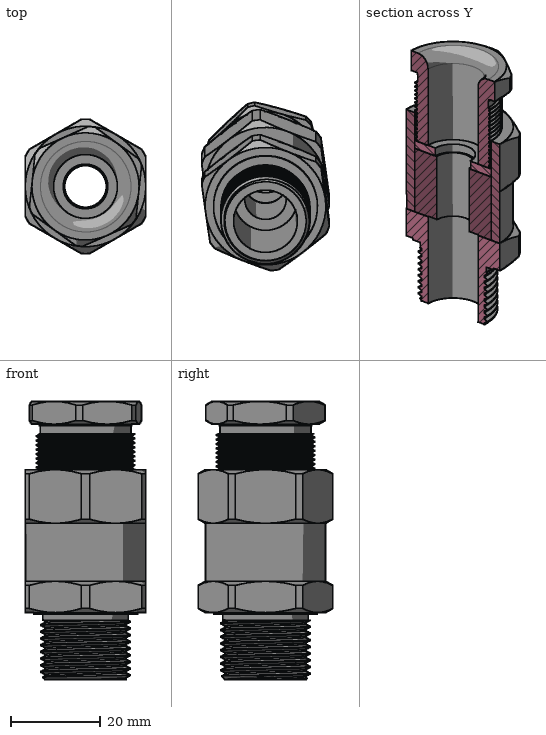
import cadquery as cq
import math


height = 62.3
entry_length = 22.0
entry_hex_height = 7.0
sleeve_length = 13.0
body_hex_height = 12.0
nut_hex_height = 5.1
sleeve_base = entry_length
body_hex_base = sleeve_base + sleeve_length
body_top = body_hex_base + body_hex_height
entry_hex_base = entry_length - entry_hex_height
nut_hex_base = height - nut_hex_height

body_flats = 27.0
nut_flats = 24.0
corner_ratio = 30.17 / 27.0
hex_chamfer_angle = 30.0
nut_turn = -6.0

entry_thread_radius = 10.0
entry_thread_pitch = 1.5
entry_thread_top = 13.3
entry_thread_crest_height = 0.2
entry_tip_chamfer = 0.9
entry_neck_radius = 9.6
entry_collar_radius = 11.65
entry_collar_height = 0.4

nut_thread_radius = 11.0
nut_thread_pitch = 1.0
nut_thread_top = 55.1
nut_thread_crest_height = 0.5
nut_neck_radius = 10.2
nut_collar_radius = 10.35
nut_collar_height = 0.4

thread_depth_ratio = 0.613
crest_flat_ratio = 1 / 8
root_flat_ratio = 1 / 4
thread_overshoot_ratio = 0.1

nut_bore_radius = 7.15
flare_radius = 3.0
nut_bottom = 40.0
washer_thickness = 2.0
washer_bore_radius = 5.0
seal_bore_radius = 4.65
seal_top = nut_bottom - washer_thickness
entry_bore_radius = nut_bore_radius
chamber_radius = nut_thread_radius


def cylinder(radius, bottom, top):
    return cq.Workplane("XY").workplane(offset=bottom).circle(radius).extrude(top - bottom)


def hexagon(flats, bottom, top):
    """Hexagonal prism with flats facing X, turned round at the corners and chamfered at both ends."""
    face_radius = flats / 2
    corner_radius = face_radius * corner_ratio
    chamfer = (corner_radius - face_radius) * math.tan(math.radians(hex_chamfer_angle))
    prism = (
        cq.Workplane("XY")
        .workplane(offset=bottom)
        .polygon(6, flats, circumscribed=True)
        .extrude(top - bottom)
    )
    turned = (
        cq.Workplane("XZ")
        .moveTo(0, bottom)
        .lineTo(face_radius, bottom)
        .lineTo(corner_radius, bottom + chamfer)
        .lineTo(corner_radius, top - chamfer)
        .lineTo(face_radius, top)
        .lineTo(0, top)
        .close()
        .revolve(360, (0, 0, 0), (0, 1, 0))
    )
    return prism.intersect(turned)


def thread(crest_radius, pitch, bottom, top, crest_height, tip_chamfer=0.0):
    """Rod with a right-hand thread, made longer than needed and then trimmed to bottom and top."""
    root = crest_radius - thread_depth_ratio * pitch
    overshoot = thread_overshoot_ratio * pitch
    mouth_radius = crest_radius + overshoot
    half_root = root_flat_ratio * pitch / 2
    half_crest_gap = (1 - crest_flat_ratio) * pitch / 2
    flank_slope = (half_crest_gap - half_root) / (crest_radius - root)
    half_mouth = half_crest_gap + flank_slope * overshoot

    start = (math.floor(bottom / pitch) - 1) * pitch + crest_height
    turns = math.ceil((top - start) / pitch) + 1
    helix_length = turns * pitch
    helix = cq.Wire.makeHelix(pitch, helix_length, root).translate(cq.Vector(0, 0, start))
    groove = (
        cq.Workplane("XZ")
        .moveTo(root, start - half_root)
        .lineTo(mouth_radius, start - half_mouth)
        .lineTo(mouth_radius, start + half_mouth)
        .lineTo(root, start + half_root)
        .close()
        .sweep(cq.Workplane(obj=helix), isFrenet=True)
    )
    blank = cylinder(crest_radius, start - pitch, start + helix_length + pitch)
    rod = blank.cut(groove)

    trim = cylinder(mouth_radius, bottom, top)
    if tip_chamfer > 0:
        trim = trim.faces("<Z").chamfer(tip_chamfer + overshoot)
    return rod.intersect(trim)


def make_entry():
    threaded_end = thread(
        entry_thread_radius,
        entry_thread_pitch,
        0,
        entry_thread_top,
        entry_thread_crest_height,
        entry_tip_chamfer,
    )
    collar_base = entry_hex_base - entry_collar_height
    return (
        hexagon(body_flats, entry_hex_base, entry_length)
        .union(cylinder(entry_collar_radius, collar_base, entry_hex_base))
        .union(cylinder(entry_neck_radius, entry_thread_top, collar_base))
        .union(threaded_end)
        .cut(cylinder(entry_bore_radius, 0, entry_length))
    )


def make_body():
    return (
        cylinder(body_flats / 2, sleeve_base, body_hex_base)
        .union(hexagon(body_flats, body_hex_base, body_top))
        .cut(cylinder(chamber_radius, sleeve_base, body_top))
    )


def make_ring(bore_radius, bottom, top):
    """Flat ring that fills the chamber between its bore and the chamber's wall."""
    return cylinder(chamber_radius, bottom, top).cut(cylinder(bore_radius, bottom, top))


def make_nut():
    collar_base = nut_hex_base - nut_collar_height
    threaded_shank = thread(
        nut_thread_radius, nut_thread_pitch, nut_bottom, nut_thread_top, nut_thread_crest_height
    )
    passage = (
        cq.Workplane("XZ")
        .moveTo(0, nut_bottom)
        .lineTo(nut_bore_radius, nut_bottom)
        .lineTo(nut_bore_radius, height - flare_radius)
        .radiusArc((nut_bore_radius + flare_radius, height), flare_radius)
        .lineTo(0, height)
        .close()
        .revolve(360, (0, 0, 0), (0, 1, 0))
    )
    return (
        hexagon(nut_flats, nut_hex_base, height)
        .rotate((0, 0, 0), (0, 0, 1), nut_turn)
        .union(cylinder(nut_collar_radius, collar_base, nut_hex_base))
        .union(cylinder(nut_neck_radius, nut_thread_top, collar_base))
        .union(threaded_shank)
        .cut(passage)
    )


entry = make_entry()
body = make_body()
seal = make_ring(seal_bore_radius, entry_length, seal_top)
washer = make_ring(washer_bore_radius, seal_top, nut_bottom)
nut = make_nut()

result = cq.Compound.makeCompound(
    [solid for part in (entry, body, seal, washer, nut) for solid in part.solids().vals()]
)